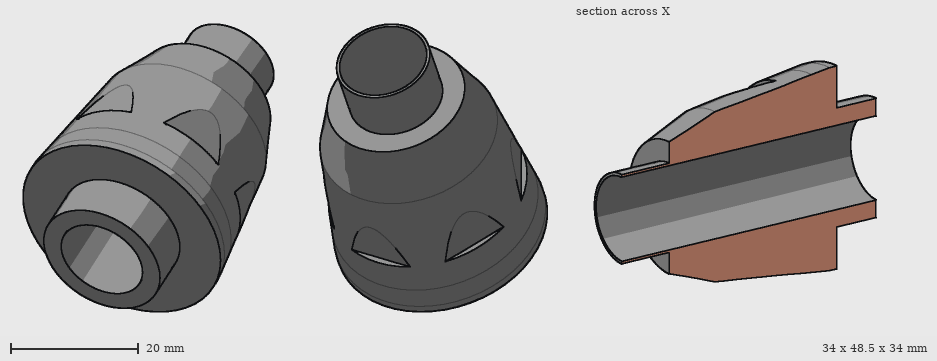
import cadquery as cq

FULL_TURN = 360

collar_end = 7.5
rim_end = 8.9
seam = 12.35
flat_start = 17.25
shoulder = 30.75
body_end = 39.5
overall_length = 48.5

bore_diameter = 14.0
tail_diameter = 15.0
collar_diameter = 20.0
rim_diameter = 34.0
shoulder_diameter = 28.5
body_end_diameter = 22.1
taper_fraction_at_seam = (seam - rim_end) / (shoulder - rim_end)
seam_diameter = rim_diameter + taper_fraction_at_seam * (shoulder_diameter - rim_diameter)

flat_count = 6
flat_distance = 15.0
cutter_size = rim_diameter


def make_turned_body():
    """Collar, rim, two tapers, tail tube and through bore, revolved about Y."""
    bore_radius = bore_diameter / 2
    profile = (
        cq.Workplane("XY")
        .moveTo(bore_radius, 0)
        .lineTo(collar_diameter / 2, 0)
        .lineTo(collar_diameter / 2, collar_end)
        .lineTo(rim_diameter / 2, collar_end)
        .lineTo(rim_diameter / 2, rim_end)
        .lineTo(seam_diameter / 2, seam)
        .lineTo(shoulder_diameter / 2, shoulder)
        .lineTo(body_end_diameter / 2, body_end)
        .lineTo(tail_diameter / 2, body_end)
        .lineTo(tail_diameter / 2, overall_length)
        .lineTo(bore_radius, overall_length)
        .close()
    )
    return profile.revolve(FULL_TURN, (0, 0, 0), (0, 1, 0), clean=False)


def make_flat_cutter(angle):
    """Block that leaves a flat parallel to the axis, turned by angle about Y."""
    block = cq.Workplane("XY").box(
        cutter_size, overall_length - flat_start, cutter_size, centered=(False, False, True)
    )
    block = block.translate((flat_distance, flat_start, 0))
    return block.rotate((0, 0, 0), (0, 1, 0), angle)


result = make_turned_body()
for index in range(flat_count):
    result = result.cut(make_flat_cutter(index * FULL_TURN / flat_count), clean=False)